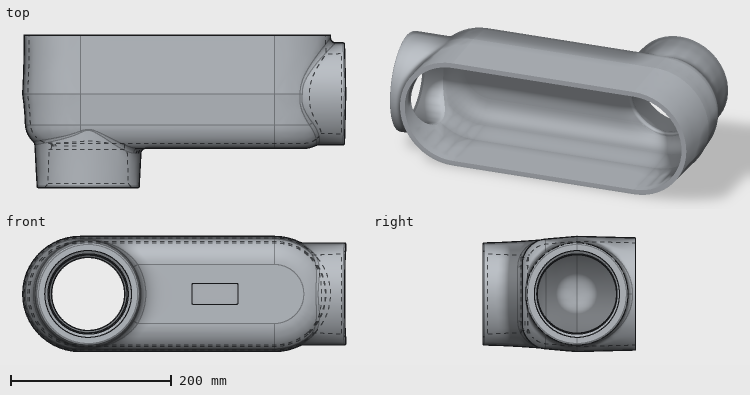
import cadquery as cq
import math


total_length = 401.96
total_depth = 189.71

body_radius = 143.52 / 2
center_distance = 241.2
open_depth = 72.9
face_depth = 67.95
open_draft = 1.5
face_draft = 5.0
face_round = 31.75
wall = 6.35

hub_radius = 127.0 / 2
front_hub_x = 9.75
front_hub_draft = 3.0
front_hub_reach = total_depth - open_depth
end_hub_reach = total_length - body_radius
end_hub_face_draft = 1.5
hub_rim_round = 2.0
hub_root_round = 6.0

mouth_radius = 108.0 / 2
mouth_depth = 5.5
socket_radius = 100.0 / 2
socket_floor_radius = 97.0 / 2
socket_depth = 47.5
throat_radius = 90.6 / 2
throat_round = 3.0
throat_end = front_hub_reach - (face_depth - wall)

plate_length = 56.8
plate_height = 25.6
plate_center_x = 167.4
plate_depth = 0.5
plate_corner = 1.0


def drafted_slot(length, draft, radius):
    """Round-ended block from the parting plane; positive lengths grow toward -Y."""
    return (
        cq.Workplane("XZ")
        .center(center_distance / 2, 0)
        .slot2D(center_distance + 2 * radius, 2 * radius)
        .extrude(length, taper=draft)
    )


def body_form(inset):
    """The body's shape, moved inward by the inset everywhere except at its open side."""
    radius = body_radius - inset
    front_half = drafted_slot(face_depth - inset, face_draft, radius)
    front_half = front_half.faces("<Y").edges().fillet(face_round - inset)
    open_half = drafted_slot(-open_depth, open_draft, radius)
    return front_half.union(open_half)


def front_hub():
    """Tapered round hub from the parting plane to its flat rim."""
    root_radius = hub_radius + front_hub_reach * math.tan(math.radians(front_hub_draft))
    return (
        cq.Workplane("XZ", origin=(front_hub_x, 0, 0))
        .circle(root_radius)
        .extrude(front_hub_reach, taper=front_hub_draft)
    )


def end_hub():
    """Straight round hub whose end face is a shallow ridge along the parting plane."""
    lean = hub_radius * math.tan(math.radians(end_hub_face_draft))
    hub = (
        cq.Workplane("YZ", origin=(center_distance, 0, 0))
        .circle(hub_radius)
        .extrude(end_hub_reach - center_distance)
    )
    ridge = (
        cq.Workplane("XY")
        .moveTo(center_distance, -hub_radius)
        .lineTo(end_hub_reach - lean, -hub_radius)
        .lineTo(end_hub_reach, 0)
        .lineTo(end_hub_reach - lean, hub_radius)
        .lineTo(center_distance, hub_radius)
        .close()
        .extrude(hub_radius, both=True)
    )
    return hub.intersect(ridge)


def hub_bore():
    """Bore cutter running along -Y from its mouth at Y = 0.

    A chamfered mouth leads to a tapered socket, then to a throat that is rounded at both ends
    and opens into a clearance bore through the rounded inner corner of the cavity.
    """
    arc_inset = throat_round * (1 - math.sqrt(0.5))
    lip_radius = throat_radius + throat_round
    return (
        cq.Workplane("XY")
        .lineTo(mouth_radius, 0)
        .lineTo(socket_radius, -mouth_depth)
        .lineTo(socket_floor_radius, -socket_depth)
        .lineTo(lip_radius, -socket_depth)
        .threePointArc(
            (throat_radius + arc_inset, -socket_depth - arc_inset),
            (throat_radius, -socket_depth - throat_round),
        )
        .lineTo(throat_radius, -throat_end + throat_round)
        .threePointArc(
            (throat_radius + arc_inset, -throat_end + arc_inset),
            (lip_radius, -throat_end),
        )
        .lineTo(lip_radius, -front_hub_reach)
        .lineTo(0, -front_hub_reach)
        .close()
        .revolve(360, (0, 0), (0, 1))
    )


def nameplate():
    return (
        cq.Workplane("XZ", origin=(plate_center_x, -face_depth, 0))
        .rect(plate_length, plate_height)
        .extrude(-plate_depth)
        .edges("|Y")
        .fillet(plate_corner)
    )


def add_hub(part, hub, rim_side):
    """Join a hub to the part, then round its rim and blend its root into the body.

    The rim side is the face selector of the hub's rim.
    """
    joined = part.union(hub)
    rim_edges = joined.faces(rim_side).edges("not %LINE").vals()
    hub_faces = joined.faces(rim_side).edges().ancestors("Face")
    root_edges = []
    for edge in hub_faces.edges("not %LINE").vals():
        if not any(edge.isSame(rim_edge) for rim_edge in rim_edges):
            root_edges.append(edge)
    blended = joined.newObject(root_edges).fillet(hub_root_round)
    return blended.faces(rim_side).edges("not %LINE").fillet(hub_rim_round)


outer = add_hub(body_form(0), front_hub(), "<Y")
outer = add_hub(outer, end_hub(), ">X")

bore = hub_bore()
front_bore = bore.rotate((0, 0, 0), (0, 0, 1), 180).translate((front_hub_x, -front_hub_reach, 0))
end_bore = bore.rotate((0, 0, 0), (0, 0, 1), -90).translate((end_hub_reach, 0, 0))

result = outer.cut(body_form(wall)).cut(front_bore).cut(end_bore).cut(nameplate())